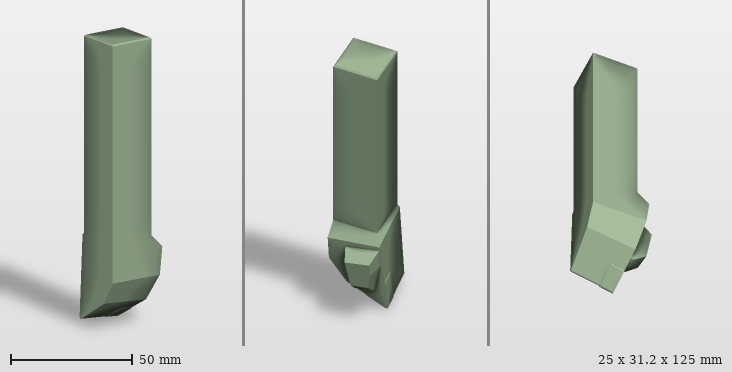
import cadquery as cq
import math


shank_size = 20.0
overall_width = 25.0
overall_length = 125.0
shank_end_chamfer = 0.6
shank_left = overall_width - shank_size

head_length = 40.0
blank_size = 60.0
insert_step = 0.27
relief_top = 22.5
relief_angle = 59.0

rake_rise_x = 0.080
rake_rise_z = 0.105
approach_lean = 2.8

nose_radius = 1.0
nose_angle = 55.0
insert_length = 16.15
insert_width = 9.525
insert_thickness = 6.35

clamp_height = 7.1
clamp_draft = 15.0
clamp_outline = [
    (33.2, -0.1),
    (24.7, -0.1),
    (9.9, 3.5),
    (9.0, 12.5),
    (31.7, 14.9),
]
clamp_slope_angle = 37.0
clamp_slope_start = 17.5
clamp_slope_skew = 4.0

lean_x = math.tan(math.radians(approach_lean))
rake_normal = cq.Vector(-rake_rise_x, 1, -rake_rise_z)
edge_direction = cq.Vector(lean_x, rake_rise_x * lean_x + rake_rise_z, 1)

rake = cq.Plane(origin=(nose_radius, shank_size, nose_radius), xDir=edge_direction, normal=rake_normal)

nose_cos = math.cos(math.radians(nose_angle))
nose_sin = math.sin(math.radians(nose_angle))


def rounded_parallelogram(radius, length, side, depth):
    """Parallelogram hung below the rake plane, all corners rounded, one of them about the nose centre."""
    corner_x = -radius / math.tan(math.radians(nose_angle / 2))
    corner_y = -radius
    run = side * nose_cos
    rise = side * nose_sin
    outline = [
        (corner_x, corner_y),
        (corner_x + length, corner_y),
        (corner_x + length + run, corner_y + rise),
        (corner_x + run, corner_y + rise),
    ]
    blank = cq.Workplane(rake).polyline(outline).close().extrude(-depth)
    return blank.edges(cq.selectors.ParallelDirSelector(rake.zDir)).fillet(radius)


def make_insert():
    """Insert with its top face on the rake plane."""
    return rounded_parallelogram(nose_radius, insert_length, insert_width / nose_sin, insert_thickness)


def make_shank():
    """Square bar with its free end chamfered."""
    return (
        cq.Workplane("XY", origin=(shank_left, 0, head_length))
        .rect(shank_size, shank_size, centered=False)
        .extrude(overall_length - head_length)
        .faces(">Z")
        .chamfer(shank_end_chamfer)
    )


def make_head():
    """Tilted head, trimmed by the back relief, the flat base and the 45 degree shoulders under the shank."""
    blank = rounded_parallelogram(nose_radius - insert_step, blank_size, blank_size, blank_size)
    relief_run = relief_top / math.tan(math.radians(relief_angle))
    front_outline = (
        cq.Workplane("XZ")
        .polyline(
            [
                (overall_width, head_length),
                (overall_width, relief_top),
                (overall_width - relief_run, 0),
                (shank_left - head_length, 0),
                (shank_left, head_length),
            ]
        )
        .close()
        .extrude(-blank_size)
    )
    side_outline = (
        cq.Workplane("YZ")
        .polyline([(0, 0), (shank_size + head_length, 0), (shank_size, head_length), (0, head_length)])
        .close()
        .extrude(overall_width)
    )
    return blank.intersect(front_outline).intersect(side_outline)


def make_clamp():
    """Drafted clamp on the rake plane, with a sloped front."""
    body = cq.Workplane(rake).polyline(clamp_outline).close().extrude(clamp_height, taper=clamp_draft)
    slope = (
        cq.Workplane(rake)
        .transformed(offset=(clamp_slope_start, 0, clamp_height))
        .transformed(rotate=(0, 0, clamp_slope_skew))
        .transformed(rotate=(0, -clamp_slope_angle, 0))
        .rect(blank_size, blank_size)
        .extrude(blank_size)
    )
    return body.cut(slope)


insert = make_insert()
holder = make_shank().union(make_head()).union(make_clamp()).cut(insert)

result = cq.Compound.makeCompound([holder.val(), insert.val()])